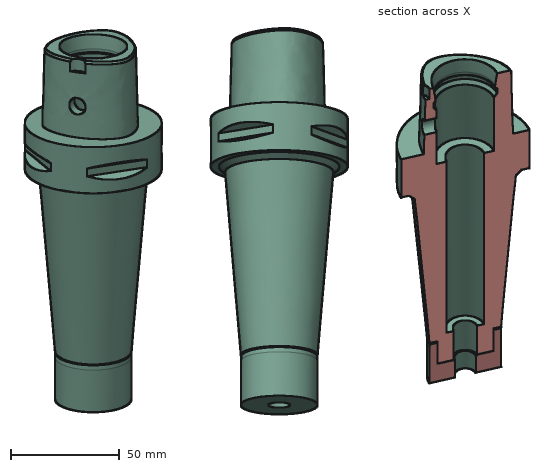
import cadquery as cq
import math

TOTAL_HEIGHT = 173.0
SHANK_HEIGHT = 37.5
FLANGE_HEIGHT = 22.7
FLANGE_TOP = TOTAL_HEIGHT - SHANK_HEIGHT
FLANGE_BOTTOM = FLANGE_TOP - FLANGE_HEIGHT

FLANGE_RADIUS = 31.5
UNDERCUT_HEIGHT = 2.6
UNDERCUT_TOP_RADIUS = 27.7
BODY_TOP_RADIUS = 24.9
BODY_BOTTOM_RADIUS = 17.6

NUT_RADIUS = 17.6
NUT_HEIGHT = 23.0
NUT_TAPER_HEIGHT = 2.2
NUT_TAPER_INSET = 0.2
NUT_HOLE_RADIUS = 5.0
NUT_GAP = 0.5
BODY_BOTTOM = NUT_HEIGHT + NUT_GAP
NECK_RADIUS = 13.8
NECK_BOTTOM = 10.4

SHANK_MEAN_RADIUS = 22.0
SHANK_LOBE = 1.5
SHANK_TAPER = 1 / 40
SHANK_CHAMFER_HEIGHT = 1.2
SHANK_CHAMFER_INSET = 0.7
LOBE_PHASE = math.pi / 2
LOBE_POINTS = 36

MOUTH_RADIUS = 15.5
LIP_RADIUS = 14.5
BORE_RADIUS = 14.0
MOUTH_DEPTH = 6.7
LIP_DEPTH = 8.3
GROOVE_TOP_DEPTH = 9.3
GROOVE_BOTTOM_DEPTH = 11.6
SEAT_DEPTH = 13.7
BORE_DEPTH = 45.0
BODY_BORE_RADIUS = 9.2
BODY_BORE_BOTTOM = 27.7
COOLANT_HOLE_RADIUS = 5.7

NOTCH_RADIUS = 5.2
NOTCH_DEPTH = 5.9
NOTCH_FLOOR_Y = -17.6
CROSS_HOLE_RADIUS = 4.0
CROSS_HOLE_DEPTH = 22.3

GRIP_COUNT = 4
GRIP_FLOOR_DISTANCE = 27.7
GRIP_FLOOR_HEIGHT = 3.8
GRIP_SIDE_ANGLE = 30.0
GRIP_BELOW_TOP = 12.5


def revolve_profile(points):
    """Revolve an outline of (radius, z) points around the Z axis."""
    return cq.Workplane("XZ").polyline(points).close().revolve(360, (0, 0, 0), (0, 1, 0))


def lobed_outline(inset):
    """Points on the three-lobed curve moved inward by the given distance."""
    points = []
    for i in range(LOBE_POINTS):
        angle = 2 * math.pi * i / LOBE_POINTS
        lobe_angle = 3 * (angle - LOBE_PHASE)
        support = SHANK_MEAN_RADIUS - inset + SHANK_LOBE * math.cos(lobe_angle)
        slope = -3 * SHANK_LOBE * math.sin(lobe_angle)
        points.append((
            support * math.cos(angle) - slope * math.sin(angle),
            support * math.sin(angle) + slope * math.cos(angle),
        ))
    return points


def lobed_loft(bottom_z, height, bottom_inset, top_inset):
    """Solid between two lobed outlines."""
    return (
        cq.Workplane("XY", origin=(0, 0, bottom_z))
        .spline(lobed_outline(bottom_inset), periodic=True).close()
        .workplane(offset=height)
        .spline(lobed_outline(top_inset), periodic=True).close()
        .loft(ruled=True)
    )


def make_shank():
    straight_height = SHANK_HEIGHT - SHANK_CHAMFER_HEIGHT
    top_inset = straight_height * SHANK_TAPER
    wall = lobed_loft(FLANGE_TOP, straight_height, 0, top_inset)
    chamfer = lobed_loft(
        TOTAL_HEIGHT - SHANK_CHAMFER_HEIGHT,
        SHANK_CHAMFER_HEIGHT,
        top_inset,
        top_inset + SHANK_CHAMFER_INSET,
    )
    return wall.union(chamfer)


def make_turned_body():
    """Flange, tapered body and the neck that enters the nut."""
    return revolve_profile([
        (0, FLANGE_TOP),
        (FLANGE_RADIUS, FLANGE_TOP),
        (FLANGE_RADIUS, FLANGE_BOTTOM),
        (UNDERCUT_TOP_RADIUS, FLANGE_BOTTOM),
        (BODY_TOP_RADIUS, FLANGE_BOTTOM - UNDERCUT_HEIGHT),
        (BODY_BOTTOM_RADIUS, BODY_BOTTOM),
        (NECK_RADIUS, BODY_BOTTOM),
        (NECK_RADIUS, NECK_BOTTOM),
        (0, NECK_BOTTOM),
    ])


def make_bore():
    """Stepped bore with a conical mouth and an internal groove."""
    return revolve_profile([
        (0, TOTAL_HEIGHT),
        (MOUTH_RADIUS, TOTAL_HEIGHT),
        (LIP_RADIUS, TOTAL_HEIGHT - MOUTH_DEPTH),
        (LIP_RADIUS, TOTAL_HEIGHT - LIP_DEPTH),
        (MOUTH_RADIUS, TOTAL_HEIGHT - GROOVE_TOP_DEPTH),
        (MOUTH_RADIUS, TOTAL_HEIGHT - GROOVE_BOTTOM_DEPTH),
        (BORE_RADIUS, TOTAL_HEIGHT - SEAT_DEPTH),
        (BORE_RADIUS, TOTAL_HEIGHT - BORE_DEPTH),
        (BODY_BORE_RADIUS, TOTAL_HEIGHT - BORE_DEPTH),
        (BODY_BORE_RADIUS, BODY_BORE_BOTTOM),
        (COOLANT_HOLE_RADIUS, BODY_BORE_BOTTOM),
        (COOLANT_HOLE_RADIUS, NECK_BOTTOM),
        (0, NECK_BOTTOM),
    ])


def make_notch():
    """Round-bottomed notch, open to the top and to -Y."""
    center_y = NOTCH_FLOOR_Y - NOTCH_RADIUS
    return (
        cq.Workplane("XY", origin=(0, center_y, TOTAL_HEIGHT - NOTCH_DEPTH))
        .circle(NOTCH_RADIUS)
        .extrude(NOTCH_DEPTH)
    )


def make_cross_hole():
    """Radial hole from the -Y side into the bore."""
    return (
        cq.Workplane("XZ", origin=(0, 0, TOTAL_HEIGHT - CROSS_HOLE_DEPTH))
        .circle(CROSS_HOLE_RADIUS)
        .extrude(FLANGE_RADIUS)
    )


def make_grip_groove(angle):
    """Straight flat-floored groove with flared sides, cut across the flange rim."""
    depth = FLANGE_RADIUS - GRIP_FLOOR_DISTANCE
    floor_half = GRIP_FLOOR_HEIGHT / 2
    mouth_half = floor_half + depth * math.tan(math.radians(GRIP_SIDE_ANGLE))
    return (
        cq.Workplane("XZ", origin=(0, 0, FLANGE_TOP - GRIP_BELOW_TOP))
        .polyline([
            (GRIP_FLOOR_DISTANCE, -floor_half),
            (FLANGE_RADIUS, -mouth_half),
            (FLANGE_RADIUS, mouth_half),
            (GRIP_FLOOR_DISTANCE, floor_half),
        ]).close()
        .extrude(FLANGE_RADIUS, both=True)
        .rotate((0, 0, 0), (0, 0, 1), angle)
    )


def make_holder():
    holder = make_turned_body().union(make_shank())
    holder = holder.cut(make_bore()).cut(make_notch()).cut(make_cross_hole())
    spacing = 360 / GRIP_COUNT
    for i in range(GRIP_COUNT):
        holder = holder.cut(make_grip_groove((i + 0.5) * spacing))
    return holder


def make_nut():
    """Clamping nut with a recess for the holder's neck."""
    return revolve_profile([
        (NUT_HOLE_RADIUS, 0),
        (NUT_RADIUS, 0),
        (NUT_RADIUS, NUT_HEIGHT - NUT_TAPER_HEIGHT),
        (NUT_RADIUS - NUT_TAPER_INSET, NUT_HEIGHT),
        (NECK_RADIUS, NUT_HEIGHT),
        (NECK_RADIUS, NECK_BOTTOM),
        (NUT_HOLE_RADIUS, NECK_BOTTOM),
    ])


holder = make_holder()
nut = make_nut()

result = cq.Compound.makeCompound([holder.val(), nut.val()])